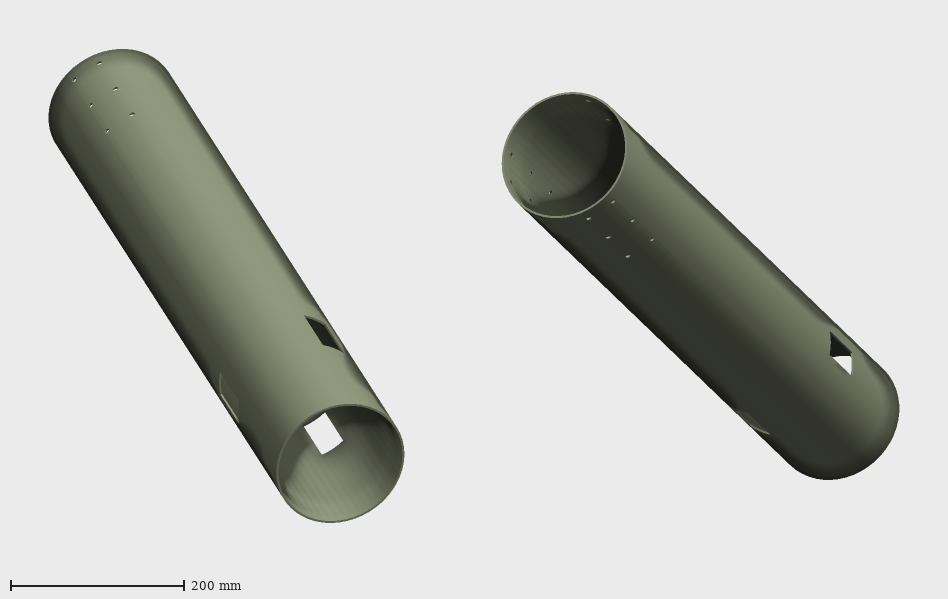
import cadquery as cq

LENGTH = 900.0
OUTER_DIAMETER = 155.0
WALL = 2.5
OUTER_RADIUS = OUTER_DIAMETER / 2

SECTOR_COUNT = 3
SECTOR_ANGLE = 360 / SECTOR_COUNT

WINDOW_LENGTH = 76.0
WINDOW_WIDTH = 30.0
WINDOW_CENTER_X = 711.0

HOLE_DIAMETER = 6.5
HOLE_START_X = 21.0
HOLE_PITCH = 65.0
HOLES_PER_ROW = 3
ROW_SPREAD_ANGLE = 26.0

CUTTER_DEPTH = 2 * OUTER_RADIUS


def around_axis(shape, angle):
    """Turn a shape about the tube axis, from -Y towards -Z."""
    return shape.rotate((0, 0, 0), (1, 0, 0), angle)


def make_tube():
    return (
        cq.Workplane("YZ")
        .circle(OUTER_RADIUS)
        .circle(OUTER_RADIUS - WALL)
        .extrude(LENGTH)
    )


def make_window_cutter():
    """Box reaching from the tube axis out through the -Y wall."""
    return (
        cq.Workplane("XZ")
        .center(WINDOW_CENTER_X, 0)
        .rect(WINDOW_LENGTH, WINDOW_WIDTH)
        .extrude(CUTTER_DEPTH)
    )


def make_hole_row_cutter():
    """Row of pins reaching from the tube axis out through the -Y wall."""
    centers = [(HOLE_START_X + i * HOLE_PITCH, 0) for i in range(HOLES_PER_ROW)]
    return (
        cq.Workplane("XZ")
        .pushPoints(centers)
        .circle(HOLE_DIAMETER / 2)
        .extrude(CUTTER_DEPTH)
    )


result = make_tube()
for sector in range(SECTOR_COUNT):
    window_angle = sector * SECTOR_ANGLE
    result = result.cut(around_axis(make_window_cutter(), window_angle))

    pair_angle = window_angle + SECTOR_ANGLE / 2
    for side in (-1, 1):
        row_angle = pair_angle + side * ROW_SPREAD_ANGLE / 2
        result = result.cut(around_axis(make_hole_row_cutter(), row_angle))